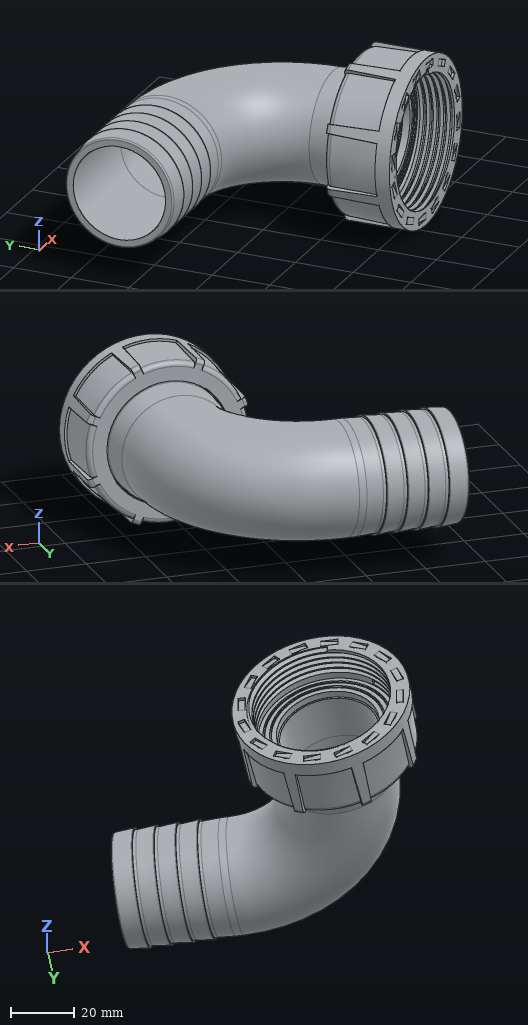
import cadquery as cq
import math


TUBE_D = 38.0
BORE_D = 32.0
BEND_R = 40.0
HOSE_AXIS_Y = 72.2
HOSE_END_X = -77.2
BEND_START_X = -BEND_R
BEND_END_Y = HOSE_AXIS_Y - BEND_R

ROOT_D = 37.4
BARB_D = 38.6
BARB_COUNT = 4
BARB_PITCH = 7.0
BARB_LAND = 0.3
BARB_GAP = 1.1
HOSE_TIP_FILLET = 0.5
TUBE_LAND = 2.5

NUT_D = 57.4
NUT_H = 23.0
NUT_FLANGE_H = 5.0
NUT_LIP_H = 3.0
NUT_HOLE_D = 41.5
PANEL_LOW_D = 55.7
PANEL_TOP_D = 54.5
PANEL_TOP_FILLET = 1.7
RIB_COUNT = 8
RIB_LOW_W = 4.0
RIB_TOP_W = 3.0
RIB_TOP_FILLET = 1.5

THREAD_MINOR_D = 44.9
THREAD_MAJOR_D = 47.8
THREAD_PITCH = 2.3
THREAD_TURNS = 4.9
GROOVE_MOUTH_W = 1.9
GROOVE_ROOT_W = 0.6
GROOVE_START_ANGLE = 85.0
GROOVE_OVERLAP = 0.1

RAMP_COUNT = 16
RAMP_LENGTH = 5.5
RAMP_WIDTH = 2.2
RAMP_DEPTH = 1.1
RAMP_INNER_R = 24.4

NECK_D = 40.7
COLLAR_D = 44.5
COLLAR_H = 4.7
GASKET_H = 2.5
GASKET_BORE_D = 33.2
RIDGE_INNER_DS = (36.3, 40.7)
RIDGE_W = 0.5
RIDGE_H = 0.4

LIP_Y = NUT_H - NUT_LIP_H
COLLAR_END_Y = LIP_Y - COLLAR_H
GASKET_FACE_Y = COLLAR_END_Y - GASKET_H


def revolve_about_y(profile):
    """Revolve a closed XY profile, drawn as (radius, y), about the Y axis."""
    return profile.revolve(360, (0, 0, 0), (0, 1, 0))


def ring(outer_d, inner_d, y_start, height):
    """Flat ring around the Y axis."""
    return (
        cq.Workplane("XZ", origin=(0, y_start, 0))
        .circle(outer_d / 2)
        .circle(inner_d / 2)
        .extrude(-height)
    )


def make_barbed_end():
    """Solid hose end, from its rounded tip to the start of the bend."""
    root_r = ROOT_D / 2
    barb_r = BARB_D / 2
    tube_r = TUBE_D / 2
    tip_arc = HOSE_TIP_FILLET * (1 - math.sqrt(0.5))
    profile = (
        cq.Workplane("XY")
        .moveTo(HOSE_END_X, 0)
        .lineTo(HOSE_END_X, root_r - HOSE_TIP_FILLET)
        .threePointArc(
            (HOSE_END_X + tip_arc, root_r - tip_arc),
            (HOSE_END_X + HOSE_TIP_FILLET, root_r),
        )
    )
    for i in range(1, BARB_COUNT + 1):
        barb_end = HOSE_END_X + i * BARB_PITCH
        profile = (
            profile.lineTo(barb_end - BARB_LAND, barb_r)
            .lineTo(barb_end, barb_r)
            .lineTo(barb_end, root_r)
            .lineTo(barb_end + BARB_GAP, root_r)
        )
    profile = (
        profile.lineTo(BEND_START_X - TUBE_LAND, tube_r)
        .lineTo(BEND_START_X, tube_r)
        .lineTo(BEND_START_X, 0)
        .close()
    )
    return profile.revolve(360, (0, 0, 0), (1, 0, 0)).translate((0, HOSE_AXIS_Y, 0))


def make_bend(diameter):
    """Quarter-torus rod between the hose axis and the nut axis."""
    return (
        cq.Workplane("XZ", origin=(0, BEND_END_Y, 0))
        .circle(diameter / 2)
        .revolve(-90, (-BEND_R, 0, 0), (-BEND_R, 1, 0))
    )


def make_nut_end():
    """Solid cone, neck and collar at the nut end of the elbow."""
    return revolve_about_y(
        cq.Workplane("XY").polyline([
            (0, COLLAR_END_Y),
            (COLLAR_D / 2, COLLAR_END_Y),
            (COLLAR_D / 2, LIP_Y),
            (NECK_D / 2, LIP_Y),
            (NECK_D / 2, NUT_H),
            (TUBE_D / 2, BEND_END_Y),
            (0, BEND_END_Y),
        ]).close()
    )


def make_elbow():
    outside = make_barbed_end().union(make_bend(TUBE_D)).union(make_nut_end())
    hose_bore = (
        cq.Workplane("YZ", origin=(HOSE_END_X, HOSE_AXIS_Y, 0))
        .circle(BORE_D / 2)
        .extrude(BEND_START_X - HOSE_END_X)
    )
    nut_bore = (
        cq.Workplane("XZ", origin=(0, COLLAR_END_Y, 0))
        .circle(BORE_D / 2)
        .extrude(COLLAR_END_Y - BEND_END_Y)
    )
    return outside.cut(hose_bore).cut(make_bend(BORE_D)).cut(nut_bore)


def make_rounded_body(low_d, top_d, top_fillet):
    """Solid body of the nut above its flange, with a rounded top edge."""
    body = revolve_about_y(
        cq.Workplane("XY").polyline([
            (0, 0),
            (low_d / 2, 0),
            (low_d / 2, NUT_FLANGE_H),
            (top_d / 2, NUT_H),
            (0, NUT_H),
        ]).close()
    )
    return body.faces(">Y").edges().fillet(top_fillet)


def make_ribs():
    """Grip ribs that narrow toward the top of the nut."""
    rib = (
        cq.Workplane("XY")
        .polyline([
            (-RIB_LOW_W / 2, NUT_FLANGE_H),
            (RIB_LOW_W / 2, NUT_FLANGE_H),
            (RIB_TOP_W / 2, NUT_H),
            (-RIB_TOP_W / 2, NUT_H),
        ])
        .close()
        .extrude(NUT_D / 2)
    )
    step = 360 / RIB_COUNT
    ribs = cq.Workplane("XY")
    for i in range(RIB_COUNT):
        ribs = ribs.union(rib.rotate((0, 0, 0), (0, 1, 0), (i + 0.5) * step))
    return ribs.intersect(make_rounded_body(NUT_D, NUT_D, RIB_TOP_FILLET))


def make_thread_groove():
    """Left-handed groove that starts half open on the nut face and runs inward."""
    start_r = THREAD_MINOR_D / 2
    depth = (THREAD_MAJOR_D - THREAD_MINOR_D) / 2
    helix = cq.Wire.makeHelix(THREAD_PITCH, THREAD_TURNS * THREAD_PITCH, start_r, lefthand=True)
    groove = (
        cq.Workplane("XZ")
        .polyline([
            (start_r - GROOVE_OVERLAP, -GROOVE_MOUTH_W / 2),
            (start_r + depth, -GROOVE_ROOT_W / 2),
            (start_r + depth, GROOVE_ROOT_W / 2),
            (start_r - GROOVE_OVERLAP, GROOVE_MOUTH_W / 2),
        ])
        .close()
        .sweep(cq.Workplane(helix), isFrenet=True)
    )
    along_y = groove.rotate((0, 0, 0), (1, 0, 0), -90)
    return along_y.rotate((0, 0, 0), (0, 1, 0), -GROOVE_START_ANGLE)


def make_ramps():
    """Ring of pocket cutters whose floors slope down along their length."""
    ramp = (
        cq.Workplane("XY", origin=(0, 0, RAMP_INNER_R))
        .polyline([(0, 0), (RAMP_LENGTH, 0), (RAMP_LENGTH, RAMP_DEPTH)])
        .close()
        .extrude(RAMP_WIDTH)
    )
    step = 360 / RAMP_COUNT
    ramps = [ramp.rotate((0, 0, 0), (0, 1, 0), i * step).val() for i in range(RAMP_COUNT)]
    return cq.Workplane(cq.Compound.makeCompound(ramps))


def make_nut():
    flange = cq.Workplane("XZ").circle(NUT_D / 2).extrude(-NUT_FLANGE_H)
    panels = make_rounded_body(PANEL_LOW_D, PANEL_TOP_D, PANEL_TOP_FILLET)
    nut = panels.union(flange).union(make_ribs())
    cavity = cq.Workplane("XZ").circle(THREAD_MINOR_D / 2).extrude(-LIP_Y)
    neck_hole = cq.Workplane("XZ").circle(NUT_HOLE_D / 2).extrude(-NUT_H)
    nut = nut.cut(cavity).cut(neck_hole).cut(make_ramps())
    return nut.cut(make_thread_groove())


def make_gasket():
    gasket = ring(THREAD_MINOR_D, GASKET_BORE_D, GASKET_FACE_Y, GASKET_H)
    for inner_d in RIDGE_INNER_DS:
        outer_d = inner_d + 2 * RIDGE_W
        gasket = gasket.union(ring(outer_d, inner_d, GASKET_FACE_Y - RIDGE_H, RIDGE_H))
    return gasket


elbow = make_elbow()
nut = make_nut()
gasket = make_gasket()

result = cq.Compound.makeCompound([body.solids().val() for body in (elbow, nut, gasket)])